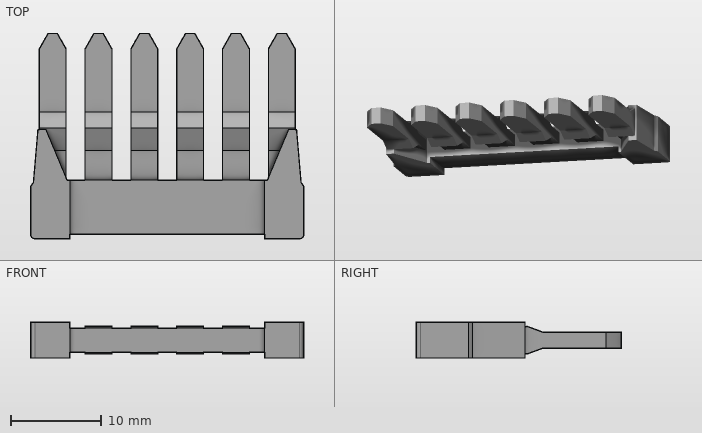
import cadquery as cq

overall_width = 30.3
overall_length = 22.77
end_height = 4.0

bar_height = 2.7
bar_front = 0.5
bar_back = 6.5

end_width = 4.35
corner_radius = 0.5
shoulder_start = 5.8
shoulder_end = 6.25
shoulder_inset = 0.3
arm_tip_y = 12.1
arm_tip_inset = 0.8
arm_tip_width = 0.9
arm_root_inset = 4.05

pin_count = 6
pin_pitch = 5.08
pin_width = 3.0
blade_height = 1.8
bulge_height = 3.1
neck_height = 1.25
neck_end = 9.8
bulge_y = 12.3
blade_start = 14.05
tip_width = 1.05
tip_length = 1.72

half_width = overall_width / 2


def make_bar():
    """Flat bar between the end blocks, centred on the mid-plane."""
    bar_length = overall_width - 2 * end_width
    return (
        cq.Workplane("XY")
        .box(bar_length, bar_back - bar_front, bar_height, centered=(True, False, True))
        .translate((0, bar_front, 0))
    )


def make_left_end():
    """Left end block with a rounded front corner, small shoulder and tapered arm."""
    outer = -half_width
    inner = outer + end_width
    outline = [
        (outer, 0),
        (inner, 0),
        (inner, bar_back),
        (outer + arm_root_inset, bar_back),
        (outer + arm_tip_inset + arm_tip_width, arm_tip_y),
        (outer + arm_tip_inset, arm_tip_y),
        (outer + shoulder_inset, shoulder_end),
        (outer, shoulder_start),
    ]
    block = cq.Workplane("XY").polyline(outline).close().extrude(end_height / 2, both=True)
    front_corner = cq.selectors.NearestToPointSelector((outer, 0, 0))
    return block.edges("|Z").edges(front_corner).fillet(corner_radius)


def make_pin(center_x):
    """Pin with a thin neck, a bulge and a straight blade with a tapered tip."""
    upper_profile = [
        (bar_front, neck_height / 2),
        (neck_end, neck_height / 2),
        (bulge_y, bulge_height / 2),
        (blade_start, blade_height / 2),
        (overall_length, blade_height / 2),
    ]
    lower_profile = [(y, -z) for y, z in reversed(upper_profile)]
    side = (
        cq.Workplane("YZ")
        .polyline(upper_profile + lower_profile)
        .close()
        .extrude(pin_width / 2, both=True)
    )

    tip_start = overall_length - tip_length
    plan_outline = [
        (-pin_width / 2, bar_front),
        (pin_width / 2, bar_front),
        (pin_width / 2, tip_start),
        (tip_width / 2, overall_length),
        (-tip_width / 2, overall_length),
        (-pin_width / 2, tip_start),
    ]
    plan = cq.Workplane("XY").polyline(plan_outline).close().extrude(bulge_height, both=True)
    return side.intersect(plan).translate((center_x, 0, 0))


left_end = make_left_end()
result = make_bar().union(left_end).union(left_end.mirror("YZ"))
for index in range(pin_count):
    pin_x = (index - (pin_count - 1) / 2) * pin_pitch
    result = result.union(make_pin(pin_x))